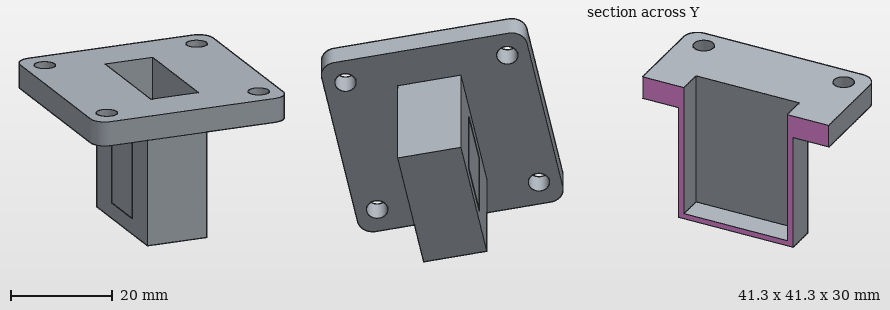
import cadquery as cq

flange_side = 41.27
flange_thickness = 5.0
flange_corner_radius = 3.1
hole_diameter = 4.2
hole_spacing_x = 31.0
hole_spacing_y = 32.5

guide_width = 22.86
guide_height = 10.16
wall = 1.27
body_width = guide_width + 2 * wall
body_depth = guide_height + 2 * wall
overall_height = 30.0
end_wall = wall
body_height = overall_height - flange_thickness

label_width = 10.3
label_height = 17.9
label_thickness = 0.1
label_bottom = 3.3


def make_flange():
    """Rounded square plate with four through holes, its top face at Z = overall_height."""
    return (
        cq.Workplane("XY")
        .workplane(offset=body_height)
        .rect(flange_side, flange_side)
        .extrude(flange_thickness)
        .edges("|Z")
        .fillet(flange_corner_radius)
        .faces(">Z")
        .workplane()
        .rect(hole_spacing_x, hole_spacing_y, forConstruction=True)
        .vertices()
        .hole(hole_diameter)
    )


def make_body():
    """Solid block that hangs below the flange down to Z = 0."""
    return cq.Workplane("XY").rect(body_width, body_depth).extrude(body_height)


def make_label():
    """Thin plate standing proud of the -Y face of the body."""
    return (
        cq.Workplane("XZ", origin=(0, -body_depth / 2, label_bottom))
        .center(0, label_height / 2)
        .rect(label_width, label_height)
        .extrude(label_thickness)
    )


def make_guide_opening():
    """Blind waveguide channel, open at the flange face and closed by the end wall."""
    return (
        cq.Workplane("XY")
        .workplane(offset=end_wall)
        .rect(guide_width, guide_height)
        .extrude(overall_height - end_wall)
    )


result = make_flange().union(make_body()).union(make_label()).cut(make_guide_opening())